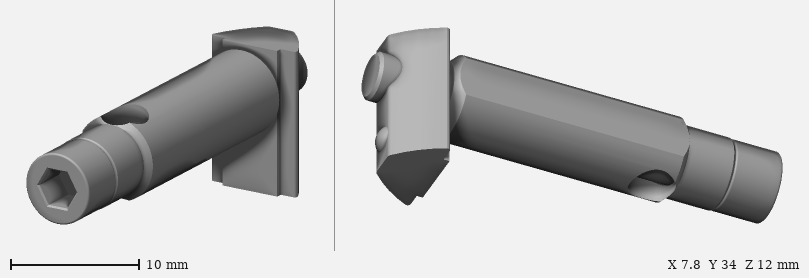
import cadquery as cq
import math

total_length = 34.0

head_diameter = 5.8
head_length = 4.0
head_fillet = 0.17
shank_diameter = 3.95
tip_diameter = 3.45
socket_width = 2.95
socket_flare = 0.15
socket_depth = 3.0

sleeve_radius = 3.47
sleeve_bore_diameter = 4.1
nose_diameter = 5.9
nose_rim_chamfer = 0.2
shoulder_y = 8.02
sleeve_end_y = 28.0
sleeve_end_chamfer = 0.85
cross_hole_diameter = 3.8

nut_width = 7.8
nut_height = 12.0
nut_front_y = 28.4
nut_back_y = 33.0
neck_width = 5.03
neck_depth = 0.5
lip_height = 0.35
lip_fillet = 0.25
flank_bulge = 0.25
crown_width = 2.3
crown_fillet = 0.5
dimple_sphere_radius = 1.4
dimple_protrusion = 0.48
dimple_above_base = 2.45
nut_top_z = 3.5
nut_base_z = nut_top_z - nut_height
nut_middle_z = nut_top_z - nut_height / 2


def rod(diameter, start_y, end_y):
    """Cylinder on the clamp axis from start_y to end_y."""
    return cq.Workplane("XZ", origin=(0, start_y, 0)).circle(diameter / 2).extrude(start_y - end_y)


def turned(profile):
    """Solid of revolution about the clamp axis from (radius, y) points."""
    return cq.Workplane("XY").polyline(profile).close().revolve(360, (0, 0, 0), (0, 1, 0))


def hexagon(across_flats):
    """Hexagon on the head face with two corners on the X axis."""
    return cq.Workplane("XZ").polygon(6, across_flats / math.cos(math.pi / 6))


def make_screw():
    head_radius = head_diameter / 2
    shank_radius = shank_diameter / 2
    tip_radius = tip_diameter / 2
    tip_chamfer = shank_radius - tip_radius
    body = turned([
        (0, 0),
        (head_radius, 0),
        (head_radius, head_length),
        (shank_radius, head_length),
        (shank_radius, total_length - tip_chamfer),
        (tip_radius, total_length),
        (0, total_length),
    ])
    for rim_y in (0, head_length):
        rim = cq.selectors.BoxSelector(
            (-head_radius, rim_y - head_fillet, -head_radius),
            (head_radius, rim_y + head_fillet, head_radius),
        )
        body = body.edges("%CIRCLE").edges(cq.selectors.RadiusNthSelector(-1)).edges(rim).fillet(head_fillet)
    socket = hexagon(socket_width).extrude(-socket_depth)
    flare = hexagon(socket_width + 2 * socket_flare).extrude(-socket_flare, taper=45)
    return body.cut(socket).cut(flare)


def make_sleeve():
    nose_radius = nose_diameter / 2
    bore_radius = sleeve_bore_diameter / 2
    body = turned([
        (bore_radius, head_length),
        (nose_radius - nose_rim_chamfer, head_length),
        (nose_radius, head_length + nose_rim_chamfer),
        (nose_radius, shoulder_y),
        (sleeve_radius, shoulder_y + sleeve_radius - nose_radius),
        (sleeve_radius, sleeve_end_y - sleeve_end_chamfer),
        (sleeve_radius - sleeve_end_chamfer, sleeve_end_y),
        (bore_radius, sleeve_end_y),
    ])
    flat_cutter = cq.Workplane("XY").box(
        sleeve_radius, total_length, 2 * sleeve_radius, centered=(False, False, True)
    ).translate((-nose_radius - sleeve_radius, 0, 0))
    hole_y = shoulder_y + cross_hole_diameter / 2
    cross_hole = (
        cq.Workplane("XY", origin=(0, hole_y, 0))
        .circle(cross_hole_diameter / 2)
        .extrude(sleeve_radius, both=True)
    )
    return body.cut(flat_cutter).cut(cross_hole)


def make_nut():
    lip_x = nut_width / 2
    neck_x = neck_width / 2
    crown_x = crown_width / 2
    lip_y = nut_front_y + neck_depth
    flank_y = lip_y + lip_height
    chord_x = lip_x - crown_x
    chord_y = nut_back_y - flank_y
    chord = math.hypot(chord_x, chord_y)
    flank_mid_x = (lip_x + crown_x) / 2 + flank_bulge * chord_y / chord
    flank_mid_y = (flank_y + nut_back_y) / 2 + flank_bulge * chord_x / chord

    body = (
        cq.Workplane("XY", origin=(0, 0, nut_base_z))
        .moveTo(-neck_x, nut_front_y)
        .lineTo(neck_x, nut_front_y)
        .lineTo(neck_x, lip_y)
        .lineTo(lip_x, lip_y)
        .lineTo(lip_x, flank_y)
        .threePointArc((flank_mid_x, flank_mid_y), (crown_x, nut_back_y))
        .lineTo(-crown_x, nut_back_y)
        .threePointArc((-flank_mid_x, flank_mid_y), (-lip_x, flank_y))
        .lineTo(-lip_x, lip_y)
        .lineTo(-neck_x, lip_y)
        .close()
        .extrude(nut_height)
    )
    for corner_x, corner_y, radius in ((lip_x, lip_y, lip_fillet), (crown_x, nut_back_y, crown_fillet)):
        for side in (-1, 1):
            corner = cq.selectors.NearestToPointSelector((side * corner_x, corner_y, nut_middle_z))
            body = body.edges("|Z").edges(corner).fillet(radius)

    dimple_y = nut_back_y + dimple_protrusion - dimple_sphere_radius
    dimple = cq.Workplane("XY").sphere(dimple_sphere_radius)
    body = body.union(dimple.translate((0, dimple_y, nut_base_z + dimple_above_base)))
    return body.cut(rod(shank_diameter, nut_front_y, total_length))


screw = make_screw()
sleeve = make_sleeve()
nut = make_nut()
result = cq.Compound.makeCompound([screw.val(), sleeve.val(), nut.val()])